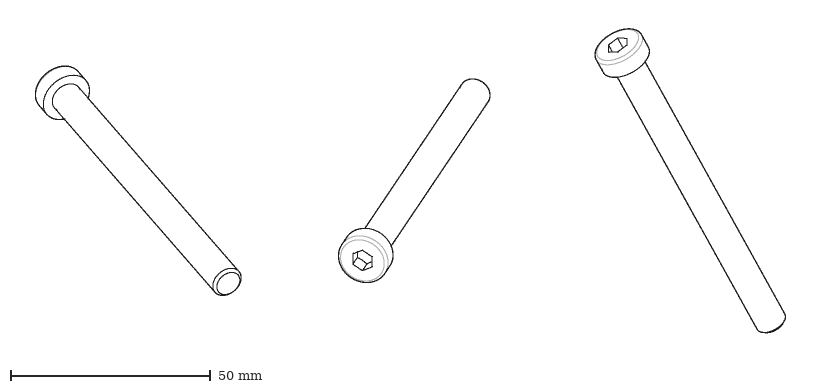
import cadquery as cq
import math

total_length = 95.0
head_diameter = 13.0
head_height = 5.0
head_edge_fillet = 0.8
shank_diameter = 8.0
tip_chamfer = 0.8
socket_across_flats = 5.0
socket_depth = 3.8
socket_cone_angle = 120.0

head_face_x = -total_length / 2
shank_length = total_length - head_height
socket_across_corners = socket_across_flats / math.cos(math.pi / 6)


def make_head(plane):
    head = cq.Workplane(plane).circle(head_diameter / 2).extrude(head_height)
    return head.faces("<X").edges().fillet(head_edge_fillet)


def make_shank(plane):
    shank = cq.Workplane(plane).workplane(offset=head_height)
    shank = shank.circle(shank_diameter / 2).extrude(shank_length)
    return shank.faces(">X").edges().chamfer(tip_chamfer)


def make_socket(plane):
    """Hexagonal recess, corners up and down, whose bottom is a cone reaching the corners."""
    cone_radius = socket_across_corners / 2
    cone_height = cone_radius / math.tan(math.radians(socket_cone_angle / 2))
    hexagon = (
        cq.Workplane(plane)
        .transformed(rotate=(0, 0, 90))
        .polygon(6, socket_across_corners)
        .extrude(socket_depth + cone_height)
    )
    drill = (
        cq.Workplane("XY", origin=(head_face_x, 0, 0))
        .lineTo(0, cone_radius)
        .lineTo(socket_depth, cone_radius)
        .lineTo(socket_depth + cone_height, 0)
        .close()
        .revolve(360, (0, 0, 0), (1, 0, 0))
    )
    return hexagon.intersect(drill)


head_face = cq.Plane(origin=(head_face_x, 0, 0), xDir=(0, 1, 0), normal=(1, 0, 0))
result = make_head(head_face).union(make_shank(head_face)).cut(make_socket(head_face))